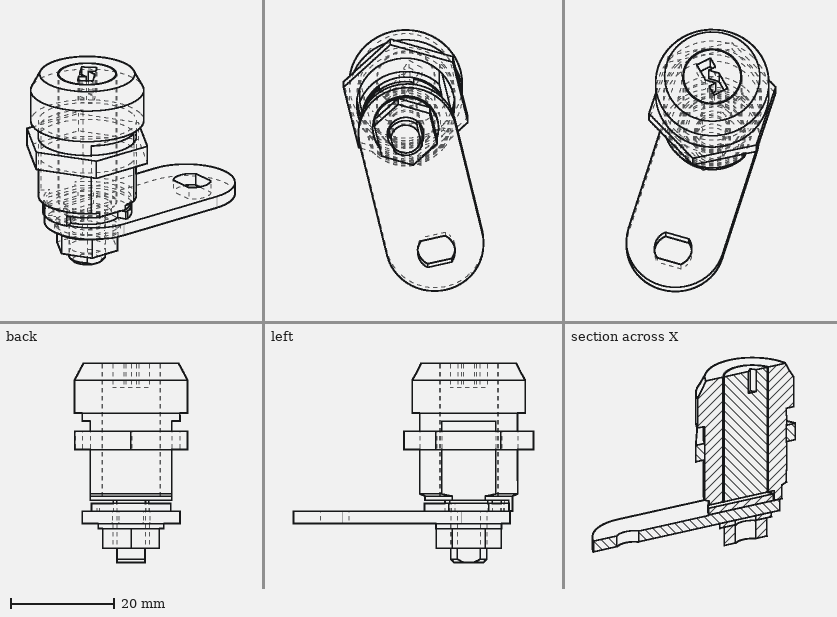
import cadquery as cq
import math


TIP_CHAMFER = 0.7
STEM_NUT_BOTTOM = 2.75
WASHER_BOTTOM = 6.6
CAM_BOTTOM = 7.6
CAM_TOP = 9.95
STOP_PLATE_TOP = 11.5
BARREL_BOTTOM = 12.05
NECK_TOP = 12.9
BARREL_CHAMFER_TOP = 13.32
MOUNTING_NUT_BOTTOM = 21.9
MOUNTING_NUT_TOP = 25.5
BARREL_FLAT_TOP = 27.45
HEAD_BOTTOM = 29.0
HEAD_CHAMFER_BOTTOM = 35.35
LOCK_TOP = 38.7

HEAD_RADIUS = 11.0
HEAD_TOP_RADIUS = 9.22
BARREL_RADIUS = 9.5
BARREL_ACROSS_FLATS = 15.85
NECK_RADIUS = 8.53
BORE_RADIUS = 5.7
STOP_LUG_CENTER_ANGLE = -90.0
STOP_LUG_HALF_ANGLE = 24.0
STOP_LUG_INNER_RADIUS = 6.9

PLUG_RADIUS = 5.55
SHANK_RADIUS = 4.6
STEM_RADIUS = 3.55
STEM_ACROSS_FLATS = 5.5
KEYWAY_LENGTH = 7.1
KEYWAY_WIDTH = 3.0
KEYWAY_DEPTH = 4.65
KEYWAY_ANGLE = -45.0

STOP_PLATE_RADIUS = 8.6
STOP_PLATE_ACROSS_FLATS = 15.4
STOP_PLATE_HUB_RADIUS = 6.7
QUARTER_TURN = 90.0

CAM_WIDTH = 2 * BARREL_RADIUS
CAM_TIP_Y = 34.0
CAM_HEEL_CENTER_Y = 1.5
CAM_HOLE_Y = 26.0
CAM_HOLE_RADIUS = 3.65

MOUNTING_NUT_ACROSS_FLATS = 21.8
MOUNTING_NUT_TURN = -0.4
STEM_NUT_ACROSS_FLATS = 11.0
WASHER_RADIUS = 6.4


def cylinder(radius, bottom, top):
    return cq.Workplane("XY").workplane(offset=bottom).circle(radius).extrude(top - bottom)


def block(x_min, x_max, y_min, y_max, bottom, top):
    size = (x_max - x_min, y_max - y_min, top - bottom)
    return cq.Workplane("XY").box(*size, centered=False).translate((x_min, y_min, bottom))


def double_flat(radius, across_flats, bottom, top):
    """Cylinder with two flats facing -X and +X."""
    half = across_flats / 2
    slab = block(-half, half, -radius, radius, bottom, top)
    return cylinder(radius, bottom, top).intersect(slab)


def wedge(start_angle, end_angle, reach, bottom, top):
    """Prism whose sides run radially out from the lock axis, at angles counterclockwise from +X."""
    corners = [(0, 0)]
    for angle in (start_angle, (start_angle + end_angle) / 2, end_angle):
        turn = math.radians(angle)
        corners.append((reach * math.cos(turn), reach * math.sin(turn)))
    return cq.Workplane("XY").workplane(offset=bottom).polyline(corners).close().extrude(top - bottom)


def hex_nut(across_flats, bore_radius, bottom, top, turn=0.0):
    """Hexagonal nut with flats facing -X and +X, turned about its axis by the given angle."""
    flat_to_x = 30
    corner_diameter = across_flats / math.cos(math.radians(flat_to_x))
    hexagon = (
        cq.Workplane("XY")
        .polygon(6, corner_diameter)
        .extrude(top - bottom)
        .rotate((0, 0, 0), (0, 0, 1), flat_to_x + turn)
        .translate((0, 0, bottom))
    )
    return hexagon.cut(cylinder(bore_radius, bottom, top))


def make_stop_lug():
    """Arc-shaped lug on the -Y side that hangs from the barrel down to the cam."""
    start = STOP_LUG_CENTER_ANGLE - STOP_LUG_HALF_ANGLE
    end = STOP_LUG_CENTER_ANGLE + STOP_LUG_HALF_ANGLE
    ring = cylinder(NECK_RADIUS, CAM_TOP, BARREL_BOTTOM)
    ring = ring.cut(cylinder(STOP_LUG_INNER_RADIUS, CAM_TOP, BARREL_BOTTOM))
    return ring.intersect(wedge(start, end, 2 * NECK_RADIUS, CAM_TOP, BARREL_BOTTOM))


def make_housing():
    turned = (
        cq.Workplane("XZ")
        .moveTo(BORE_RADIUS, BARREL_BOTTOM)
        .lineTo(NECK_RADIUS, BARREL_BOTTOM)
        .lineTo(NECK_RADIUS, NECK_TOP)
        .lineTo(BARREL_RADIUS, BARREL_CHAMFER_TOP)
        .lineTo(BARREL_RADIUS, HEAD_BOTTOM)
        .lineTo(HEAD_RADIUS, HEAD_BOTTOM)
        .lineTo(HEAD_RADIUS, HEAD_CHAMFER_BOTTOM)
        .lineTo(HEAD_TOP_RADIUS, LOCK_TOP)
        .lineTo(BORE_RADIUS, LOCK_TOP)
        .close()
        .revolve(360, (0, 0, 0), (0, 1, 0))
    )
    half = BARREL_ACROSS_FLATS / 2
    reach = BARREL_RADIUS
    for x_min, x_max in ((-reach, -half), (half, reach)):
        turned = turned.cut(block(x_min, x_max, -reach, reach, BARREL_BOTTOM, BARREL_FLAT_TOP))
    return turned.union(make_stop_lug())


def make_keyway():
    """Z-shaped key slot sunk into the plug face."""
    end = KEYWAY_LENGTH / 2
    side = KEYWAY_WIDTH / 2
    half_outline = [(-end, -side), (0, -side), (side, 0), (side, -side), (end, -side)]
    outline = half_outline + [(-x, -y) for x, y in half_outline]
    return (
        cq.Workplane("XY")
        .polyline(outline)
        .close()
        .extrude(KEYWAY_DEPTH)
        .rotate((0, 0, 0), (0, 0, 1), KEYWAY_ANGLE)
        .translate((0, 0, LOCK_TOP - KEYWAY_DEPTH))
    )


def make_plug():
    stem = cylinder(STEM_RADIUS, 0, CAM_TOP).faces("<Z").chamfer(TIP_CHAMFER)
    stem = stem.intersect(double_flat(STEM_RADIUS, STEM_ACROSS_FLATS, 0, CAM_TOP))
    shank = double_flat(SHANK_RADIUS, STEM_ACROSS_FLATS, CAM_TOP, BARREL_BOTTOM)
    core = cylinder(PLUG_RADIUS, BARREL_BOTTOM, LOCK_TOP)
    return core.union(shank).union(stem).cut(make_keyway())


def make_stop_plate():
    """Plate on the shank whose rim is notched to let the stop lug swing a quarter turn."""
    bottom, top = CAM_TOP, STOP_PLATE_TOP
    start = STOP_LUG_CENTER_ANGLE - STOP_LUG_HALF_ANGLE
    end = STOP_LUG_CENTER_ANGLE + QUARTER_TURN + STOP_LUG_HALF_ANGLE
    notch = wedge(start, end, 2 * STOP_PLATE_RADIUS, bottom, top)
    notch = notch.cut(cylinder(STOP_PLATE_HUB_RADIUS, bottom, top))
    plate = double_flat(STOP_PLATE_RADIUS, STOP_PLATE_ACROSS_FLATS, bottom, top).cut(notch)
    return plate.cut(double_flat(SHANK_RADIUS, STEM_ACROSS_FLATS, bottom, top))


def make_cam():
    """Flat arm with rounded ends, a hole for the stem and a hole near its tip."""
    half = CAM_WIDTH / 2
    tip_center_y = CAM_TIP_Y - half
    arm = (
        cq.Workplane("XY")
        .workplane(offset=CAM_BOTTOM)
        .moveTo(half, CAM_HEEL_CENTER_Y)
        .lineTo(half, tip_center_y)
        .threePointArc((0, CAM_TIP_Y), (-half, tip_center_y))
        .lineTo(-half, CAM_HEEL_CENTER_Y)
        .threePointArc((0, CAM_HEEL_CENTER_Y - half), (half, CAM_HEEL_CENTER_Y))
        .close()
        .extrude(CAM_TOP - CAM_BOTTOM)
    )
    tip_hole = (
        double_flat(CAM_HOLE_RADIUS, STEM_ACROSS_FLATS, CAM_BOTTOM, CAM_TOP)
        .rotate((0, 0, 0), (0, 0, 1), 90)
        .translate((0, CAM_HOLE_Y, 0))
    )
    stem_hole = double_flat(STEM_RADIUS, STEM_ACROSS_FLATS, CAM_BOTTOM, CAM_TOP)
    return arm.cut(tip_hole).cut(stem_hole)


def make_washer():
    washer = cylinder(WASHER_RADIUS, WASHER_BOTTOM, CAM_BOTTOM)
    return washer.cut(cylinder(STEM_RADIUS, WASHER_BOTTOM, CAM_BOTTOM))


housing = make_housing()
plug = make_plug()
stop_plate = make_stop_plate()
cam = make_cam()
washer = make_washer()
mounting_nut = hex_nut(
    MOUNTING_NUT_ACROSS_FLATS, BARREL_RADIUS, MOUNTING_NUT_BOTTOM, MOUNTING_NUT_TOP, MOUNTING_NUT_TURN
)
stem_nut = hex_nut(STEM_NUT_ACROSS_FLATS, STEM_RADIUS, STEM_NUT_BOTTOM, WASHER_BOTTOM)

result = cq.Compound.makeCompound([
    housing.val(),
    plug.val(),
    stop_plate.val(),
    cam.val(),
    washer.val(),
    mounting_nut.val(),
    stem_nut.val(),
])